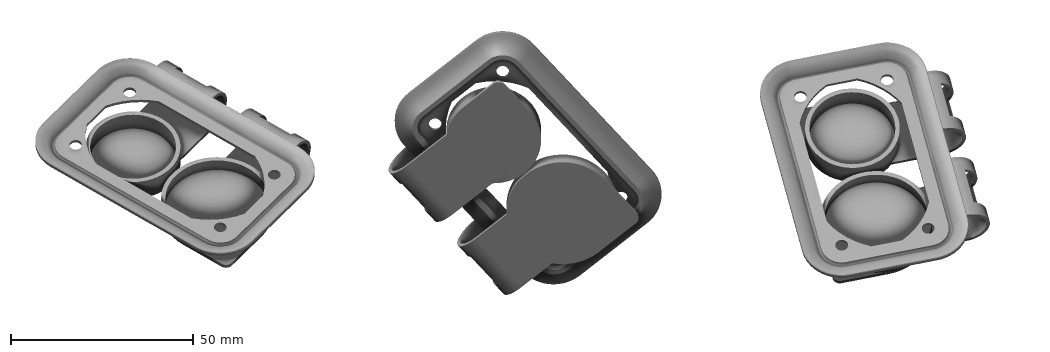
import cadquery as cq
import math

tray_length = 72.2
tray_width = 46.6
tray_corner_radius = 11.1
rim_top = 13.2
rim_bottom = 12.0
rim_chamfer = 0.2
skirt_bottom = 7.85
skirt_inset = 4.95
skirt_foot_width = 1.3
flare_radius = 8.6
wall_radius = 6.9
floor_top = 11.4
floor_thickness = 1.0
groove_radius = 0.6
groove_inset = 4.85
wall_foot_inset = 4.58
floor_inset = 6.5

window_length = 54.4
window_width = 28.8
window_side_length = 33.2
window_end_length = 8.6
window_corner_radius = 22.0
hole_diameter = 3.5

cup_spacing = 29.0
cup_wall = 1.2
cup_floor = 1.2
left_cup_radius = 13.0
left_cup_height = 6.9
right_cup_radius = 15.4
right_cup_height = 5.1
tab_thickness = 1.2
tab_corner_radius = 2.0

strap_width = 19.3
strap_thickness = 1.0
strap_slot_width = 11.0
strap_slot_low_angle = -37.0
strap_slot_high_angle = 64.0

floor_bottom = floor_top - floor_thickness
strap_radius = (rim_top - rim_chamfer) / 2
back_edge = tray_width / 2


def rounded_slab(inset, bottom, height):
    """Slab with the tray outline moved inward by inset."""
    slab = cq.Workplane("XY").workplane(offset=bottom)
    slab = slab.rect(tray_length - 2 * inset, tray_width - 2 * inset).extrude(height)
    return slab.edges("|Z").fillet(tray_corner_radius - inset)


def make_rim():
    """Flared rim: its section swept once around the tray outline."""
    groove_depth = math.sqrt(groove_radius**2 - (groove_inset - wall_foot_inset) ** 2)
    groove_mid = groove_radius * math.sqrt(0.5)
    skirt_inner = skirt_inset + skirt_foot_width
    section = (
        cq.Workplane("YZ", origin=(0, -back_edge, 0))
        .moveTo(0, rim_bottom)
        .lineTo(0, rim_top - rim_chamfer)
        .lineTo(rim_chamfer, rim_top)
        .radiusArc((wall_foot_inset, floor_top - groove_depth), wall_radius)
        .threePointArc(
            (groove_inset + groove_mid, floor_top - groove_mid),
            (groove_inset + groove_radius, floor_top),
        )
        .lineTo(floor_inset, floor_top)
        .lineTo(floor_inset, floor_bottom)
        .lineTo(skirt_inner, floor_bottom)
        .lineTo(skirt_inner, skirt_bottom)
        .lineTo(skirt_inset, skirt_bottom)
        .radiusArc((0, rim_bottom), -flare_radius)
        .close()
    )
    path = rounded_slab(0, rim_bottom, rim_top - rim_bottom).faces("<Z").wires()
    return section.sweep(path)


def make_window():
    """Tool body for the window: a rectangle with large bowed corners."""
    side_x = window_side_length / 2
    side_y = window_width / 2
    end_x = window_length / 2
    end_y = window_end_length / 2
    return (
        cq.Workplane("XY", origin=(0, 0, floor_bottom))
        .moveTo(-side_x, side_y)
        .lineTo(side_x, side_y)
        .radiusArc((end_x, end_y), window_corner_radius)
        .lineTo(end_x, -end_y)
        .radiusArc((side_x, -side_y), window_corner_radius)
        .lineTo(-side_x, -side_y)
        .radiusArc((-end_x, -end_y), window_corner_radius)
        .lineTo(-end_x, end_y)
        .radiusArc((-side_x, side_y), window_corner_radius)
        .close()
        .extrude(floor_thickness)
    )


def make_screw_holes():
    """Tool bodies for the screw holes, at the centres of the tray's corner arcs."""
    hole_pitch_x = tray_length - 2 * tray_corner_radius
    hole_pitch_y = tray_width - 2 * tray_corner_radius
    return (
        cq.Workplane("XY", origin=(0, 0, floor_bottom))
        .rect(hole_pitch_x, hole_pitch_y, forConstruction=True)
        .vertices()
        .circle(hole_diameter / 2)
        .extrude(floor_thickness)
    )


def make_strap(center_x):
    """Strap from the cup centre to the back edge, rolled up to the rim, with a slot in the roll."""
    inner_radius = strap_radius - strap_thickness
    strap = (
        cq.Workplane("YZ", origin=(center_x - strap_width / 2, 0, 0))
        .moveTo(0, 0)
        .lineTo(back_edge, 0)
        .threePointArc((back_edge + strap_radius, strap_radius), (back_edge, 2 * strap_radius))
        .lineTo(back_edge, 2 * strap_radius - strap_thickness)
        .threePointArc((back_edge + inner_radius, strap_radius), (back_edge, strap_thickness))
        .lineTo(0, strap_thickness)
        .close()
        .extrude(strap_width)
    )
    reach = 2 * strap_radius
    low = math.radians(strap_slot_low_angle)
    high = math.radians(strap_slot_high_angle)
    slot = (
        cq.Workplane("YZ", origin=(center_x - strap_slot_width / 2, back_edge, strap_radius))
        .moveTo(0, 0)
        .lineTo(reach * math.cos(low), reach * math.sin(low))
        .lineTo(reach * math.cos(high), reach * math.sin(high))
        .close()
        .extrude(strap_slot_width)
    )
    return strap.cut(slot)


def make_cup(side, radius, height):
    """Coin cup with a strap and a square front tab; side is -1 for left and 1 for right."""
    center_x = side * cup_spacing / 2
    tab = (
        cq.Workplane("XY")
        .center(center_x + side * radius / 2, -radius / 2)
        .rect(radius, radius)
        .extrude(tab_thickness)
    )
    outer_corner = "<X and <Y" if side < 0 else ">X and <Y"
    tab = tab.edges("|Z").edges(outer_corner).fillet(tab_corner_radius)
    body = cq.Workplane("XY").center(center_x, 0).circle(radius).extrude(height)
    pocket = (
        cq.Workplane("XY", origin=(center_x, 0, cup_floor))
        .circle(radius - cup_wall)
        .extrude(height - cup_floor)
    )
    return body.union(tab).union(make_strap(center_x)).cut(pocket)


tray_floor = rounded_slab(floor_inset, floor_bottom, floor_thickness)
tray = make_rim().union(tray_floor).cut(make_window()).cut(make_screw_holes())
left_cup = make_cup(-1, left_cup_radius, left_cup_height)
right_cup = make_cup(1, right_cup_radius, right_cup_height)
result = tray.union(left_cup).union(right_cup)